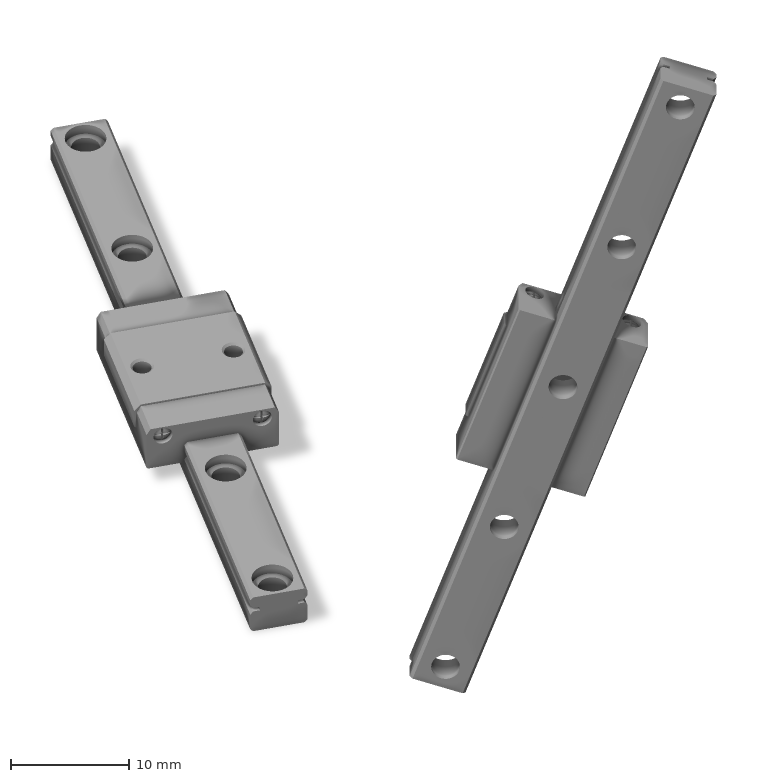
import cadquery as cq
import math


rail_length = 64.0
rail_width = 5.0
rail_height = 3.7
rail_edge_chamfer = 0.25
slot_bottom_z = 2.2
slot_top_z = 2.55
slot_root_y = 1.65
slot_mouth_y = 2.25
flare_height = 0.3

bolt_pitch = 15.0
bolt_count = 5
bolt_hole_diameter = 2.4
bolt_bore_diameter = 3.5
bolt_bore_depth = 0.95

carriage_x = 2.8
carriage_bottom_z = 1.55
block_length = 9.7
block_width = 12.0
block_top_z = 6.0
block_step_z = 3.5
block_step_height = 0.2
block_chamfer = 0.6

cap_length = 2.3
cap_width = 11.6
cap_top_z = 5.8
cap_bottom_chamfer = 0.1
seal_thickness = 0.8

mount_pitch = 8.0
mount_rim_diameter = 2.0
mount_hole_diameter = 1.6
mount_hole_depth = 1.6
drill_tip_angle = 118.0

screw_spacing = 8.7
screw_z = 4.85
screw_diameter = 1.65
screw_edge_height = 0.4
screw_dome_height = 0.25
recess_width = 0.2
recess_depth = 0.25


def extrude_along_x(half_outline, x_start, length):
    """Solid along X from the +Y half of an outline that is symmetric about Y = 0."""
    mirrored = [(-y, z) for y, z in reversed(half_outline)]
    profile = cq.Workplane("YZ", origin=(x_start, 0, 0)).polyline(half_outline + mirrored).close()
    return profile.extrude(length)


def make_rail_bar(x_start, length):
    """Plain length of rail, without bolt holes."""
    half_width = rail_width / 2
    half_outline = [
        (half_width - rail_edge_chamfer, 0),
        (half_width, rail_edge_chamfer),
        (half_width, slot_bottom_z - flare_height),
        (slot_mouth_y, slot_bottom_z),
        (slot_root_y, slot_bottom_z),
        (slot_root_y, slot_top_z),
        (slot_mouth_y, slot_top_z),
        (half_width, slot_top_z + flare_height),
        (half_width, rail_height - rail_edge_chamfer),
        (half_width - rail_edge_chamfer, rail_height),
    ]
    return extrude_along_x(half_outline, x_start, length)


def make_rail():
    """Rail with a row of counterbored bolt holes centred on its length."""
    bolt_points = [((i - (bolt_count - 1) / 2) * bolt_pitch, 0) for i in range(bolt_count)]
    return (
        make_rail_bar(-rail_length / 2, rail_length)
        .faces(">Z")
        .workplane(origin=(0, 0, rail_height))
        .pushPoints(bolt_points)
        .cboreHole(bolt_hole_diameter, bolt_bore_diameter, bolt_bore_depth)
    )


def cut_rail_passage(body, x_start, length):
    """Cut the close-fitting passage for the rail through a carriage body."""
    return body.cut(make_rail_bar(x_start, length))


def make_mount_hole(y):
    """Blind mounting hole as a solid of revolution: countersunk rim, bore and drill tip."""
    rim_radius = mount_rim_diameter / 2
    hole_radius = mount_hole_diameter / 2
    rim_depth = rim_radius - hole_radius
    tip_depth = hole_radius / math.tan(math.radians(drill_tip_angle / 2))
    half_section = [
        (0, 0),
        (rim_radius, 0),
        (hole_radius, -rim_depth),
        (hole_radius, -mount_hole_depth),
        (0, -mount_hole_depth - tip_depth),
    ]
    return (
        cq.Workplane("XZ", origin=(carriage_x, y, block_top_z))
        .polyline(half_section)
        .close()
        .revolve(360, (0, 0, 0), (0, 1, 0))
    )


def make_block():
    """Carriage block, wider above its side step, with two mounting holes."""
    x_start = carriage_x - block_length / 2
    half_width = block_width / 2
    half_outline = [
        (cap_width / 2 - cap_bottom_chamfer, carriage_bottom_z),
        (cap_width / 2, carriage_bottom_z + cap_bottom_chamfer),
        (cap_width / 2, block_step_z),
        (half_width, block_step_z + block_step_height),
        (half_width, block_top_z - block_chamfer),
        (half_width - block_chamfer, block_top_z),
    ]
    block = cut_rail_passage(extrude_along_x(half_outline, x_start, block_length), x_start, block_length)
    for side in (-1, 1):
        block = block.cut(make_mount_hole(side * mount_pitch / 2))
    return block


def make_end_plate(x_start, length):
    """Plate with the end cap outline, cut to clear the rail."""
    half_outline = [
        (cap_width / 2 - cap_bottom_chamfer, carriage_bottom_z),
        (cap_width / 2, carriage_bottom_z + cap_bottom_chamfer),
        (cap_width / 2, cap_top_z - block_chamfer),
        (block_width / 2 - block_chamfer, cap_top_z),
    ]
    return cut_rail_passage(extrude_along_x(half_outline, x_start, length), x_start, length)


def make_end_cap(end):
    """End cap against the block; end is -1 or +1 along X."""
    middle_x = carriage_x + end * (block_length + cap_length) / 2
    return make_end_plate(middle_x - cap_length / 2, cap_length)


def make_end_seal(end):
    """End seal against the cap, with a hole for each screw head."""
    middle_x = carriage_x + end * (block_length / 2 + cap_length + seal_thickness / 2)
    x_start = middle_x - seal_thickness / 2
    screw_holes = (
        cq.Workplane("YZ", origin=(x_start, 0, screw_z))
        .pushPoints([(-screw_spacing / 2, 0), (screw_spacing / 2, 0)])
        .circle(screw_diameter / 2)
        .extrude(seal_thickness)
    )
    return make_end_plate(x_start, seal_thickness).cut(screw_holes)


def make_screw(end, side):
    """Domed screw head with a cross recess, seated on the end cap inside the seal."""
    radius = screw_diameter / 2
    dome_radius = (radius**2 + screw_dome_height**2) / (2 * screw_dome_height)
    top = screw_edge_height + screw_dome_height
    mid_rise = math.sqrt(dome_radius**2 - radius**2 / 4) - dome_radius
    head = (
        cq.Workplane("XZ")
        .lineTo(radius, 0)
        .lineTo(radius, screw_edge_height)
        .threePointArc((radius / 2, top + mid_rise), (0, top))
        .close()
        .revolve(360, (0, 0, 0), (0, 1, 0))
    )
    for length, width in ((screw_diameter, recess_width), (recess_width, screw_diameter)):
        bar = cq.Workplane("XY").box(length, width, recess_depth, centered=(True, True, False))
        head = head.cut(bar.translate((0, 0, top - recess_depth)))
    seat_x = carriage_x + end * (block_length / 2 + cap_length)
    return head.rotate((0, 0, 0), (0, 1, 0), end * 90).translate((seat_x, side * screw_spacing / 2, screw_z))


ends = (-1, 1)
rail = make_rail()
block = make_block()
end_caps = [make_end_cap(end) for end in ends]
end_seals = [make_end_seal(end) for end in ends]
screws = [make_screw(end, side) for end in ends for side in (-1, 1)]

bodies = [rail, block, *end_caps, *end_seals, *screws]
result = cq.Compound.makeCompound([body.val() for body in bodies])